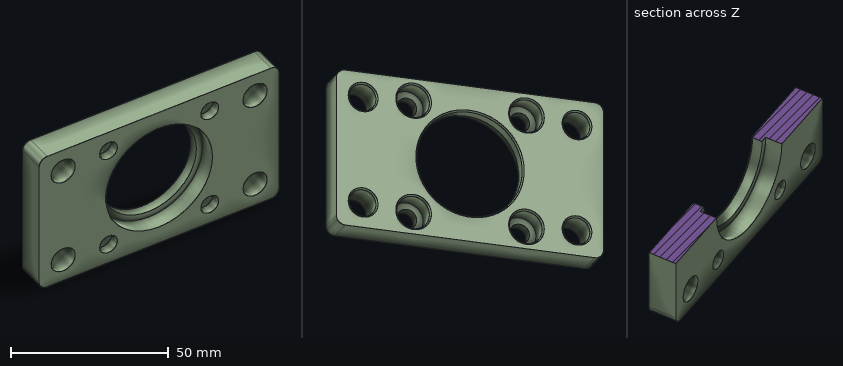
import cadquery as cq

thickness = 10.0
length = 90.0
height = 53.0
corner_radius = 3.0

bore_diameter = 35.5
recess_diameter = 40.0
recess_depth = 6.0

mount_diameter = 9.0
mount_spacing_y = 72.0
mount_spacing_z = 36.0

screw_diameter = 6.6
counterbore_diameter = 11.0
counterbore_depth = 6.5
screw_spacing = 38.0

hole_chamfer = 0.5

front_x = -thickness / 2
back_x = thickness / 2


def rectangle_corners(spacing_y, spacing_z):
    """Centres of four holes on a rectangle about the plate centre."""
    return [(y * spacing_y / 2, z * spacing_z / 2) for y in (-1, 1) for z in (-1, 1)]


def hole_cutter(center, diameter, depth):
    """Cylinder sunk from the -X face."""
    return (
        cq.Workplane("YZ", origin=(front_x, 0, 0))
        .center(*center)
        .circle(diameter / 2)
        .extrude(depth)
    )


def rim_cutter(center, diameter, chamfer):
    """Cone that chamfers the -X rim of a hole by the same amount in depth and radius."""
    y, z = center
    cone = cq.Solid.makeCone(
        diameter / 2 + chamfer, diameter / 2, chamfer, cq.Vector(front_x, y, z), cq.Vector(1, 0, 0)
    )
    return cq.Workplane("YZ").add(cone)


def cut_bore(body):
    center = (0, 0)
    body = body.cut(hole_cutter(center, bore_diameter, thickness))
    body = body.cut(rim_cutter(center, bore_diameter, hole_chamfer))
    recess = (
        cq.Workplane("YZ", origin=(back_x, 0, 0))
        .circle(recess_diameter / 2)
        .extrude(-recess_depth)
    )
    return body.cut(recess)


def cut_mount_holes(body):
    for center in rectangle_corners(mount_spacing_y, mount_spacing_z):
        body = body.cut(hole_cutter(center, mount_diameter, thickness))
        body = body.cut(rim_cutter(center, mount_diameter, hole_chamfer))
    return body


def cut_screw_holes(body):
    for center in rectangle_corners(screw_spacing, screw_spacing):
        body = body.cut(hole_cutter(center, screw_diameter, thickness))
        body = body.cut(hole_cutter(center, counterbore_diameter, counterbore_depth))
        body = body.cut(rim_cutter(center, counterbore_diameter, hole_chamfer))
    return body


plate = cq.Workplane("XY").box(thickness, length, height).edges("|X").fillet(corner_radius)
plate = cut_bore(plate)
plate = cut_mount_holes(plate)
result = cut_screw_holes(plate)